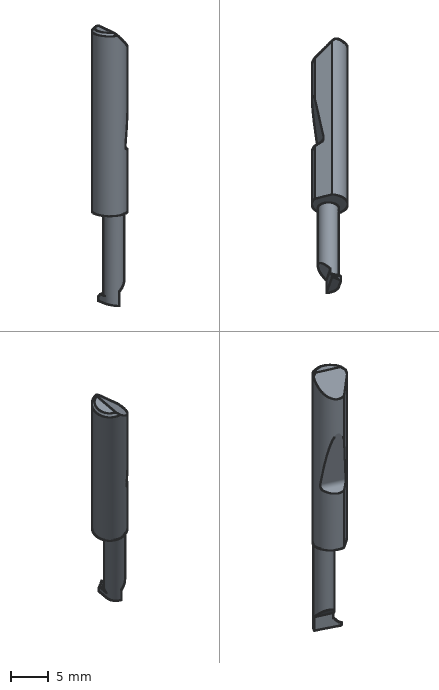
import cadquery as cq
import math


total_length = 38.1
shank_radius = 2.38
shank_bottom = 12.73
top_chamfer = 0.4
flat_distance = 2.02
flat_angle = 144.5

slant_start_y = -0.6
notch_top = 29.95
notch_floor_y = 1.05
notch_floor_z = 21.7
notch_bottom = 21.1
notch_corner_radius = 0.75

neck_radius = 1.4
neck_x = shank_radius - neck_radius
rake_runout = 2.15

head_top = 1.37
tip_x = -1.68
tip_land_width = 0.25
tip_land_top = 0.45
tip_corner = 0.1
flank_back_x = -0.65
slope_relief = 0.35
bottom_relief = 0.25
bottom_edge_rise = 0.1


def make_shank():
    shank = (
        cq.Workplane("XY", origin=(0, 0, shank_bottom))
        .circle(shank_radius)
        .extrude(total_length - shank_bottom)
        .faces(">Z")
        .chamfer(top_chamfer)
    )
    flat_cutter = (
        cq.Workplane("XY")
        .box(shank_radius, 2 * shank_radius, total_length, centered=(False, True, False))
        .translate((flat_distance, 0, 0))
        .rotate((0, 0, 0), (0, 0, 1), flat_angle)
    )
    return shank.cut(flat_cutter)


def cut_along_x(body, points):
    """Outline in the YZ plane, extended right through the bar."""
    return body.cut(yz_prism(points))


def yz_prism(points):
    return cq.Workplane("YZ").polyline(points).close().extrude(shank_radius + 0.4, both=True)


def cut_slanted_end(body):
    slant = shank_radius - slant_start_y
    return cut_along_x(body, [
        (slant_start_y, total_length),
        (shank_radius, total_length - slant),
        (shank_radius, total_length),
    ])


def cut_notch(body):
    notch = yz_prism([
        (shank_radius, notch_top),
        (notch_floor_y, notch_floor_z),
        (shank_radius, notch_bottom),
    ])
    notch = notch.edges("<Y").fillet(notch_corner_radius)
    return body.cut(notch)


def make_neck():
    neck = (
        cq.Workplane("XY", origin=(neck_x, 0, head_top))
        .circle(neck_radius)
        .extrude(shank_bottom - head_top)
    )
    return cut_along_x(neck, [
        (0, 0),
        (0, rake_runout),
        (shank_radius, rake_runout + shank_radius),
        (shank_radius, 0),
    ])


def head_profile(slope_shift, bottom_shift):
    """XZ outline of the head, with the sloped edge and the bottom moved for clearance."""
    slope_x = tip_x + tip_land_width + slope_shift
    return [
        (tip_x, tip_corner + bottom_shift),
        (tip_x, tip_land_top),
        (slope_x, tip_land_top),
        (slope_x + head_top - tip_land_top, head_top),
        (shank_radius, head_top),
        (shank_radius, bottom_edge_rise + bottom_shift),
        (tip_x + tip_corner, bottom_shift),
    ]


def make_head():
    relieved_block = (
        cq.Workplane("XZ")
        .polyline(head_profile(0, 0))
        .close()
        .workplane(offset=neck_radius)
        .polyline(head_profile(slope_relief, bottom_relief))
        .close()
        .loft(ruled=True)
    )
    arc_reach = neck_radius * math.sqrt(0.5)
    plan = (
        cq.Workplane("XY")
        .moveTo(tip_x, 0)
        .lineTo(flank_back_x, -neck_radius)
        .lineTo(neck_x, -neck_radius)
        .threePointArc((neck_x + arc_reach, -arc_reach), (shank_radius, 0))
        .close()
        .extrude(head_top)
    )
    return relieved_block.intersect(plan)


shank = cut_notch(cut_slanted_end(make_shank()))
result = shank.union(make_neck()).union(make_head()).clean()